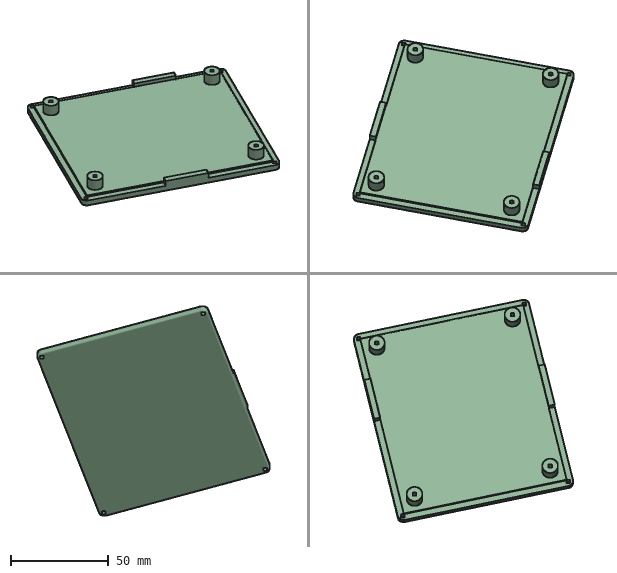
import cadquery as cq
import math

width = 92.0
length = 107.0
overall_height = 10.5

rim_height = 3.5
panel_top = 4.5
rim_width = 3.2
corner_radius = 3.0
bottom_fillet = 1.0

tab_top = 6.5
left_tab_length = 22.5
right_tab_length = 23.1
left_tab_center_y = 15.2
right_tab_center_y = 2.8

post_diameter = 8.0
post_spacing_x = 71.3
post_spacing_y = 87.0

hole_diameter = 2.0
corner_hole_spacing_x = 87.0
corner_hole_spacing_y = length - (width - corner_hole_spacing_x)
drill_point_angle = 118.0
post_hole_depth = overall_height - panel_top


def rectangular_pattern(spacing_x, spacing_y):
    return [(sx * spacing_x / 2, sy * spacing_y / 2) for sx in (-1, 1) for sy in (-1, 1)]


def make_base():
    slab = (
        cq.Workplane("XY")
        .rect(width, length)
        .extrude(rim_height)
        .edges("|Z")
        .fillet(corner_radius)
        .faces("<Z")
        .edges()
        .fillet(bottom_fillet)
    )
    panel = (
        cq.Workplane("XY", origin=(0, 0, rim_height))
        .rect(width - 2 * rim_width, length - 2 * rim_width)
        .extrude(panel_top - rim_height)
    )
    return slab.union(panel)


def make_tab(side, center_y, tab_length):
    """Block flush with the outer wall; side is -1 for -X and 1 for +X."""
    center_x = side * (width - rim_width) / 2
    return (
        cq.Workplane("XY", origin=(center_x, center_y, rim_height))
        .rect(rim_width, tab_length)
        .extrude(tab_top - rim_height)
    )


def make_posts(points):
    return (
        cq.Workplane("XY", origin=(0, 0, rim_height))
        .pushPoints(points)
        .circle(post_diameter / 2)
        .extrude(overall_height - rim_height)
    )


def make_blind_hole(x, y):
    """Drilled hole with a conical floor, opening at the top of a post."""
    radius = hole_diameter / 2
    point_depth = radius / math.tan(math.radians(drill_point_angle / 2))
    return (
        cq.Workplane("XZ")
        .moveTo(0, overall_height)
        .lineTo(radius, overall_height)
        .lineTo(radius, overall_height - post_hole_depth)
        .lineTo(0, overall_height - post_hole_depth - point_depth)
        .close()
        .revolve(360, (0, 0, 0), (0, 1, 0))
        .translate((x, y, 0))
    )


post_points = rectangular_pattern(post_spacing_x, post_spacing_y)
corner_hole_points = rectangular_pattern(corner_hole_spacing_x, corner_hole_spacing_y)

result = make_base()
result = result.union(make_tab(-1, left_tab_center_y, left_tab_length))
result = result.union(make_tab(1, right_tab_center_y, right_tab_length))
result = result.union(make_posts(post_points))

for x, y in post_points:
    result = result.cut(make_blind_hole(x, y))

corner_holes = (
    cq.Workplane("XY")
    .pushPoints(corner_hole_points)
    .circle(hole_diameter / 2)
    .extrude(panel_top)
)
result = result.cut(corner_holes)